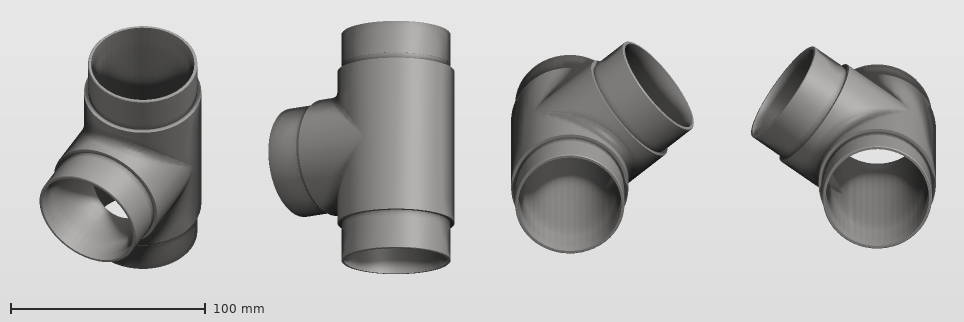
import cadquery as cq

body_diameter = 60.2
neck_diameter = 55.8
spigot_diameter = 56.2
bore_diameter = 53.0
end_reach = 60.0
neck_reach = 43.2
run_shoulder_reach = 40.0
branch_shoulder_reach = 40.2
end_chamfer = 0.4
crotch_radius = 4.0

top_end = cq.Workplane("XY")
bottom_end = cq.Workplane("XY").transformed(rotate=(180, 0, 0))
branch_end = cq.Workplane("XZ")
open_ends = (top_end, bottom_end, branch_end)


def cylinder(end, diameter, reach):
    """Cylinder from the centre of the tee out towards one open end."""
    return end.circle(diameter / 2).extrude(reach)


def tee_body():
    """Run and branch of equal diameter, blended along their crossing curves."""
    run = cq.Workplane("XY").circle(body_diameter / 2).extrude(run_shoulder_reach, both=True)
    branch = cylinder(branch_end, body_diameter, branch_shoulder_reach)
    return run.union(branch).edges("%ELLIPSE").fillet(crotch_radius)


def spigot(end):
    """Neck and slightly wider spigot, with a chamfered rim at the open end."""
    neck = cylinder(end, neck_diameter, neck_reach)
    sleeve = (
        end.workplane(offset=neck_reach)
        .circle(spigot_diameter / 2)
        .extrude(end_reach - neck_reach)
        .faces(cq.DirectionMinMaxSelector(end.plane.zDir))
        .edges()
        .chamfer(end_chamfer)
    )
    return neck.union(sleeve)


result = tee_body()
for open_end in open_ends:
    result = result.union(spigot(open_end))

for open_end in open_ends:
    result = result.cut(cylinder(open_end, bore_diameter, end_reach))